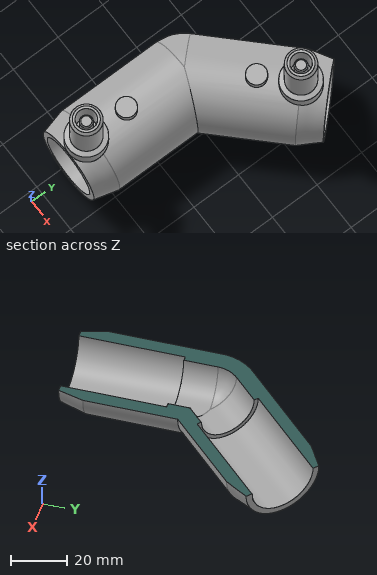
import cadquery as cq

bend_angle = 45.0
leg_length = 52.0
body_radius = 35.0 / 2
end_radius = 15.0
taper_length = 9.7

passage_radius = 21.67 / 2
socket_radius = 25.0 / 2
stop_distance = 12.7

second_terminal_distance = 42.0
terminal_top = 40.0
shroud_radius = 12.0 / 2
shroud_chamfer = 1.0
shroud_bore_radius = 8.0 / 2
shroud_bore_depth = 12.0
collar_radius = 16.0 / 2
collar_setback = 0.02
first_terminal_distance = leg_length - collar_radius - collar_setback
collar_edge_height = 20.4
collar_slope_rise = 0.6
pin_radius = 5.0 / 2
pin_chamfer = 0.5
pin_recess = 2.3

indicator_distance = 26.0
indicator_radius = 8.0 / 2
indicator_top = 20.0


def revolve_upright(profile):
    """Revolve an XZ half profile about the Z axis."""
    return cq.Workplane("XZ").polyline(profile).close().revolve(360, (0, 0, 0), (0, 1, 0))


def along_first_leg(shape, distance):
    """Move an upright shape out along the first leg, which points to -Y."""
    return shape.translate((0, -distance, 0))


def to_second_leg(shape):
    """Swing a shape from the first leg's direction to the second leg's."""
    return shape.rotate((0, 0, 0), (0, 0, 1), 180 - bend_angle)


def make_bend_wedge(radius):
    """Sphere wedge filling the outside of the bend, between the inner ends of the legs."""
    half_disc = (
        cq.Workplane("XZ")
        .moveTo(0, -radius)
        .threePointArc((-radius, 0), (0, radius))
        .close()
    )
    return half_disc.revolve(bend_angle, (0, 0, 0), (0, -1, 0))


def make_leg():
    """Solid leg with a tapered outer end."""
    profile = [
        (0, 0),
        (body_radius, 0),
        (body_radius, -(leg_length - taper_length)),
        (end_radius, -leg_length),
        (0, -leg_length),
    ]
    return cq.Workplane("XY").polyline(profile).close().revolve(360, (0, 0, 0), (0, 1, 0))


def make_leg_bore():
    """Stepped bore of one leg: passage from the bend, then the pipe socket."""
    passage = cq.Workplane("XZ").circle(passage_radius).extrude(leg_length)
    socket = (
        cq.Workplane("XZ", origin=(0, -stop_distance, 0))
        .circle(socket_radius)
        .extrude(leg_length - stop_distance)
    )
    return passage.union(socket)


def make_terminal():
    """Collar with a sloping top, hollow shroud and contact pin, standing on the Z axis."""
    collar_crown = collar_edge_height + collar_slope_rise
    rim_radius = shroud_radius - shroud_chamfer
    bore_floor = terminal_top - shroud_bore_depth
    pin_top = terminal_top - pin_recess
    return revolve_upright([
        (0, 0),
        (collar_radius, 0),
        (collar_radius, collar_edge_height),
        (shroud_radius, collar_crown),
        (shroud_radius, terminal_top - shroud_chamfer),
        (rim_radius, terminal_top),
        (shroud_bore_radius, terminal_top),
        (shroud_bore_radius, bore_floor),
        (pin_radius, bore_floor),
        (pin_radius, pin_top - pin_chamfer),
        (pin_radius - pin_chamfer, pin_top),
        (0, pin_top),
    ])


def make_indicator():
    """Plain round button standing on the Z axis."""
    return cq.Workplane("XY").circle(indicator_radius).extrude(indicator_top)


leg = make_leg()
body = leg.union(to_second_leg(leg)).union(make_bend_wedge(body_radius))

terminal = make_terminal()
indicator = along_first_leg(make_indicator(), indicator_distance)
body = body.union(along_first_leg(terminal, first_terminal_distance))
body = body.union(to_second_leg(along_first_leg(terminal, second_terminal_distance)))
body = body.union(indicator).union(to_second_leg(indicator))

leg_bore = make_leg_bore()
bore = leg_bore.union(to_second_leg(leg_bore)).union(make_bend_wedge(passage_radius))
result = body.cut(bore)